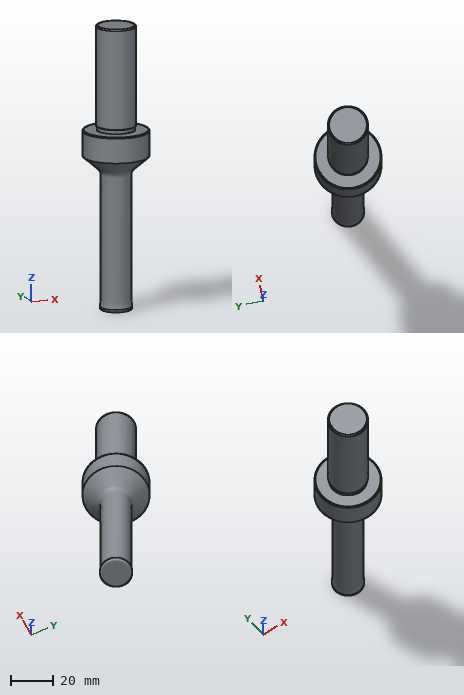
import cadquery as cq
import math

total_height = 138.2
collar_top = 87.4
collar_bottom = 74.8
neck_top = 65.7
neck_bottom = 5.1
tip_height = 1.5
relief_top = 89.2

shank_radius = 9.5
relief_radius = 9.1
collar_radius = 15.9
neck_radius = 14.8 / 2
tip_radius = 7.7

shank_chamfer = 0.7
collar_chamfer = 0.5
cone_angle = math.radians(49)
flare_angle = math.radians(8)
tip_corner_radius = 1.1

cone_height = collar_bottom - neck_top
cone_blend_radius = (
    (cone_height * math.tan(cone_angle) - (collar_radius - neck_radius))
    / (1 / math.cos(cone_angle) - 1)
)

flare_height = neck_bottom - tip_height
flare_blend_radius = (
    (flare_height * math.tan(flare_angle) - (tip_radius - neck_radius))
    / (1 / math.cos(flare_angle) - 1)
)


def blend_point(blend_radius, angle, start_height, direction):
    """Point on a blend arc that leaves the neck at start_height and has turned by angle."""
    radius = neck_radius + blend_radius * (1 - math.cos(angle))
    height = start_height + direction * blend_radius * math.sin(angle)
    return radius, height


def revolve_about_z(profile):
    """Turn a closed radius-height profile into a round solid about Z."""
    return profile.revolve(360, (0, 0, 0), (0, 1, 0))


def make_holder():
    """Shank, relief groove, collar with its cone, and the long neck with a flared end."""
    relief_step = shank_radius - relief_radius
    profile = (
        cq.Workplane("XZ")
        .moveTo(0, tip_height)
        .lineTo(tip_radius, tip_height)
        .lineTo(*blend_point(flare_blend_radius, flare_angle, neck_bottom, -1))
        .threePointArc(
            blend_point(flare_blend_radius, flare_angle / 2, neck_bottom, -1),
            (neck_radius, neck_bottom),
        )
        .lineTo(neck_radius, neck_top)
        .threePointArc(
            blend_point(cone_blend_radius, cone_angle / 2, neck_top, 1),
            blend_point(cone_blend_radius, cone_angle, neck_top, 1),
        )
        .lineTo(collar_radius, collar_bottom)
        .lineTo(collar_radius, collar_top - collar_chamfer)
        .lineTo(collar_radius - collar_chamfer, collar_top)
        .lineTo(relief_radius, collar_top)
        .lineTo(relief_radius, relief_top)
        .lineTo(shank_radius, relief_top + relief_step)
        .lineTo(shank_radius, total_height - shank_chamfer)
        .lineTo(shank_radius - shank_chamfer, total_height)
        .lineTo(0, total_height)
        .close()
    )
    return revolve_about_z(profile)


def make_cutter_tip():
    """Thin disc under the holder, its lower edge rounded into a flat face."""
    profile = (
        cq.Workplane("XZ")
        .moveTo(0, 0)
        .lineTo(tip_radius - tip_corner_radius, 0)
        .radiusArc((tip_radius, tip_corner_radius), -tip_corner_radius)
        .lineTo(tip_radius, tip_height)
        .lineTo(0, tip_height)
        .close()
    )
    return revolve_about_z(profile)


holder = make_holder()
cutter_tip = make_cutter_tip()

result = cq.Compound.makeCompound([holder.val(), cutter_tip.val()])